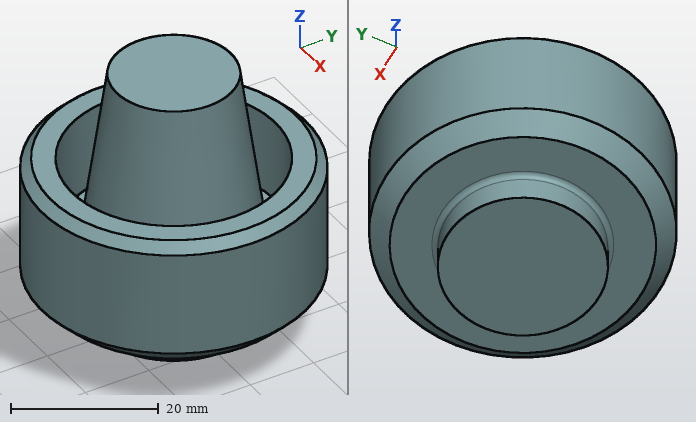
import cadquery as cq
import math

cup_diameter = 41.6
cup_height = 20.5
top_chamfer = 1.5
bottom_chamfer = 2.8
cavity_diameter = 32.0
cavity_depth = 12.8
foot_diameter = 23.0
foot_height = 5.0
foot_fillet = 0.8

plug_base_diameter = 25.0
plug_top_diameter = 18.0
plug_taper_angle = 8.0
plug_rise = 14.0

rim_z = foot_height + cup_height
floor_z = rim_z - cavity_depth
plug_height = cavity_depth + plug_rise
taper_height = (plug_base_diameter - plug_top_diameter) / 2 / math.tan(math.radians(plug_taper_angle))


def make_housing():
    cup = cq.Workplane("XY").workplane(offset=foot_height).circle(cup_diameter / 2).extrude(cup_height)
    cup = cup.faces(">Z").chamfer(top_chamfer)
    cup = cup.faces("<Z").chamfer(bottom_chamfer)

    foot = cq.Workplane("XY").circle(foot_diameter / 2).extrude(foot_height)
    body = cup.union(foot)

    foot_corner = cq.selectors.RadiusNthSelector(0)
    body = body.faces("<Z[1]").edges(foot_corner).fillet(foot_fillet)

    cavity = cq.Workplane("XY").workplane(offset=floor_z).circle(cavity_diameter / 2).extrude(cavity_depth)
    return body.cut(cavity)


def make_plug():
    base_radius = plug_base_diameter / 2
    profile = (
        cq.Workplane("XZ", origin=(0, 0, floor_z))
        .lineTo(base_radius, 0)
        .lineTo(base_radius, plug_height - taper_height)
        .lineTo(plug_top_diameter / 2, plug_height)
        .lineTo(0, plug_height)
        .close()
    )
    return profile.revolve(360, (0, 0, 0), (0, 1, 0))


housing = make_housing()
plug = make_plug()

result = cq.Compound.makeCompound([housing.val(), plug.val()])